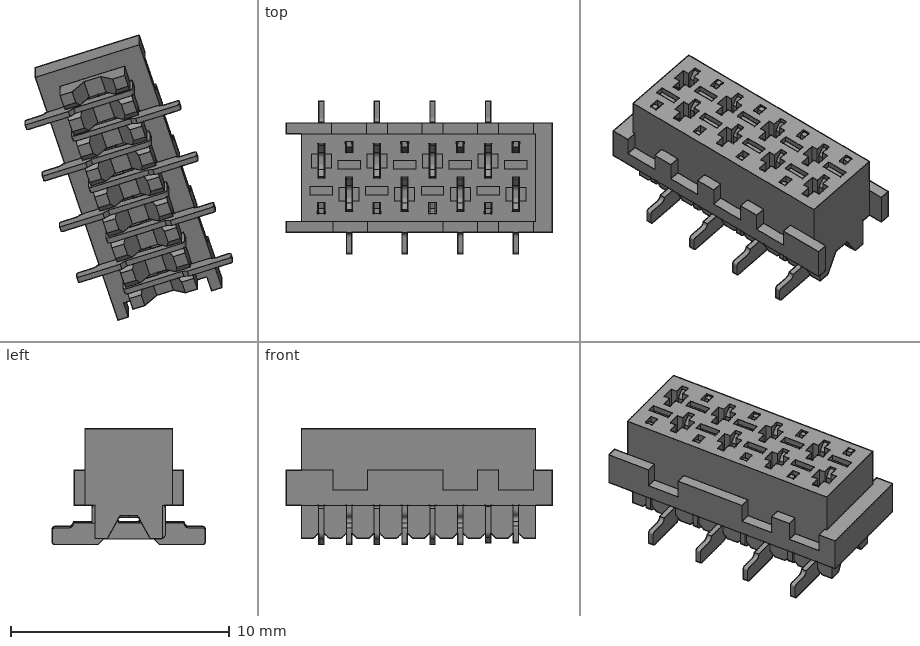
import cadquery as cq
import math

PITCH = 1.27
COLUMNS = 8
COLUMN_X = [(i - (COLUMNS - 1) / 2) * PITCH for i in range(COLUMNS)]

PIN_THICKNESS = 0.25
FOOT_TIP_Y = 3.5
FOOT_TOP_Z = 0.765
FOOT_TIP_RADIUS = 0.13
FOOT_BEVEL_START_Y = 1.41
BAR_BOTTOM_Z = 0.255
BAR_TOP_Z = 0.98
BAR_SHOULDER_Y = 2.53
LEG_OUTER_Y = -1.68
LEG_INNER_Y = -1.14
LEG_HEEL_RADIUS = 0.25
LEG_SHOULDER_Z = 1.66
LEG_SHOULDER_HEIGHT = 0.1
LEG_UPPER_OUTER_Y = -1.64
LEG_TOP_Z = 5.22
LEG_TAPER_START_Z = 2.6
LEG_TOP_INNER_Y = -1.40
NECK_INNER_Y = 0.5
NECK_CORNER_RADIUS = 0.12
NECK_NOTCH_RADIUS = 0.15
NECK_SHOULDER_RADIUS = 0.29
NECK_SHOULDER_Z = 1.5
FORK_BOTTOM_Z = 1.24
FORK_CENTRE_Y = 0.76
FORK_HALF_WIDTH = 0.78
FORK_TIP_HALF_GAP = 0.70
FORK_SLOT_HALF_WIDTH = 0.39
FORK_SLOT_BOTTOM_Z = 2.6
FORK_SLOT_RADIUS = 0.26
FORK_TIP_Z = 5.2
FORK_LEAD_IN_Z = 4.86
RAISED_COLUMNS = 2
RAISED_BY = 0.075

BODY_LENGTH = 10.7
BODY_WIDTH = 4.0
BODY_TOP_Z = 5.3
BASE_WIDTH = 3.1
BASE_BOTTOM_Z = 0.28
FLANGE_WIDTH = 5.0
FLANGE_BOTTOM_Z = 1.79
FLANGE_TOP_Z = 3.4
FLANGE_LENGTH = 12.16
FLANGE_RIGHT_X = 6.11
FLANGE_LEFT_X = FLANGE_RIGHT_X - FLANGE_LENGTH
ARM_NOTCH_WIDTH = 1.59
ARM_NOTCH_FLOOR_Z = 2.485
REAR_NOTCH_COLUMNS = [1, 3, 5, 7]
FRONT_NOTCH_COLUMNS = [1, 5, 7]
FIRST_FRONT_NOTCH_SHIFT = 0.055
TUNNEL_BOTTOM_HALF_WIDTH = 0.975
TUNNEL_TOP_HALF_WIDTH = 0.40
TUNNEL_TOP_Z = 1.32
GROOVE_HEIGHT = 0.24

FORK_HOLE_WIDTH = 0.32
CROSS_LENGTH = 0.91
CROSS_WIDTH = 0.62
CROSS_DEPTH = 2.5
LEG_HOLE_LENGTH = 0.35
POCKET_LENGTH = 1.02
POCKET_WIDTH = 0.39
POCKET_CENTRE_Y = -0.59
POCKET_DEPTH = 0.28


def foot_side(column):
    """+1 where the column's foot points to +Y, -1 where it points to -Y."""
    return 1 if column % 2 == 0 else -1


def box(x_min, x_max, y_min, y_max, z_min, z_max):
    size = (x_max - x_min, y_max - y_min, z_max - z_min)
    return cq.Workplane("XY").box(*size, centered=False).translate((x_min, y_min, z_min))


def column_box(column, length, y_near, y_far, z_min, z_max):
    """A box centred on a column, its y range given towards that column's foot."""
    x = COLUMN_X[column]
    y_ends = sorted((foot_side(column) * y_near, foot_side(column) * y_far))
    return box(x - length / 2, x + length / 2, *y_ends, z_min, z_max)


def extrude_along_x(profile, length):
    return profile.extrude(length / 2, both=True)


def pin_profile():
    """The pin's outline in the YZ plane: foot, bar, leg and neck."""
    fork_outer = FORK_CENTRE_Y + FORK_HALF_WIDTH
    fork_inner = FORK_CENTRE_Y - FORK_HALF_WIDTH
    tip_outer = FORK_CENTRE_Y + FORK_TIP_HALF_GAP
    tip_inner = FORK_CENTRE_Y - FORK_TIP_HALF_GAP
    slot_outer = FORK_CENTRE_Y + FORK_SLOT_HALF_WIDTH
    slot_inner = FORK_CENTRE_Y - FORK_SLOT_HALF_WIDTH
    step = BAR_TOP_Z - FOOT_TOP_Z
    radii = NECK_SHOULDER_RADIUS + NECK_NOTCH_RADIUS
    notch_centre_z = BAR_TOP_Z + NECK_NOTCH_RADIUS
    meet_angle = math.asin((NECK_SHOULDER_Z - notch_centre_z) / radii)
    shoulder_centre_y = fork_outer - NECK_SHOULDER_RADIUS
    notch_centre_y = shoulder_centre_y + radii * math.cos(meet_angle)
    meet_point = (
        shoulder_centre_y + NECK_SHOULDER_RADIUS * math.cos(meet_angle),
        NECK_SHOULDER_Z - NECK_SHOULDER_RADIUS * math.sin(meet_angle),
    )
    bevel_end = FOOT_BEVEL_START_Y - BAR_BOTTOM_Z
    tip_r = FOOT_TIP_RADIUS
    return (
        cq.Workplane("YZ")
        .moveTo(FOOT_BEVEL_START_Y, 0)
        .lineTo(FOOT_TIP_Y - tip_r, 0)
        .radiusArc((FOOT_TIP_Y, tip_r), -tip_r)
        .lineTo(FOOT_TIP_Y, FOOT_TOP_Z - tip_r)
        .radiusArc((FOOT_TIP_Y - tip_r, FOOT_TOP_Z), -tip_r)
        .lineTo(BAR_SHOULDER_Y + step, FOOT_TOP_Z)
        .radiusArc((BAR_SHOULDER_Y, BAR_TOP_Z), step)
        .lineTo(notch_centre_y, BAR_TOP_Z)
        .threePointArc((notch_centre_y - NECK_NOTCH_RADIUS, notch_centre_z), meet_point)
        .radiusArc((fork_outer, NECK_SHOULDER_Z), -NECK_SHOULDER_RADIUS)
        .lineTo(fork_outer, FLANGE_BOTTOM_Z)
        .lineTo(tip_outer, FORK_TIP_Z)
        .lineTo(slot_outer, FORK_LEAD_IN_Z)
        .lineTo(slot_outer, FORK_SLOT_BOTTOM_Z + FORK_SLOT_RADIUS)
        .radiusArc((slot_outer - FORK_SLOT_RADIUS, FORK_SLOT_BOTTOM_Z), FORK_SLOT_RADIUS)
        .lineTo(slot_inner + FORK_SLOT_RADIUS, FORK_SLOT_BOTTOM_Z)
        .radiusArc((slot_inner, FORK_SLOT_BOTTOM_Z + FORK_SLOT_RADIUS), FORK_SLOT_RADIUS)
        .lineTo(slot_inner, FORK_LEAD_IN_Z)
        .lineTo(tip_inner, FORK_TIP_Z)
        .lineTo(fork_inner, FLANGE_BOTTOM_Z)
        .lineTo(fork_inner, FORK_BOTTOM_Z)
        .lineTo(NECK_INNER_Y, FORK_BOTTOM_Z)
        .lineTo(NECK_INNER_Y, BAR_TOP_Z + NECK_CORNER_RADIUS)
        .radiusArc((NECK_INNER_Y - NECK_CORNER_RADIUS, BAR_TOP_Z), NECK_CORNER_RADIUS)
        .lineTo(LEG_INNER_Y, BAR_TOP_Z)
        .lineTo(LEG_INNER_Y, LEG_TAPER_START_Z)
        .lineTo(LEG_TOP_INNER_Y, LEG_TOP_Z)
        .lineTo(LEG_UPPER_OUTER_Y, LEG_TOP_Z)
        .lineTo(LEG_UPPER_OUTER_Y, LEG_SHOULDER_Z + LEG_SHOULDER_HEIGHT)
        .lineTo(LEG_OUTER_Y, LEG_SHOULDER_Z)
        .lineTo(LEG_OUTER_Y, BAR_BOTTOM_Z + LEG_HEEL_RADIUS)
        .radiusArc((LEG_OUTER_Y + LEG_HEEL_RADIUS, BAR_BOTTOM_Z), -LEG_HEEL_RADIUS)
        .lineTo(bevel_end, BAR_BOTTOM_Z)
        .close()
    )


def make_pin(column):
    pin = extrude_along_x(pin_profile(), PIN_THICKNESS)
    if foot_side(column) < 0:
        pin = pin.rotate((0, 0, 0), (0, 0, 1), 180)
    rise = RAISED_BY if column >= COLUMNS - RAISED_COLUMNS else 0
    return pin.translate((COLUMN_X[column], 0, rise))


def housing_block():
    half_length = BODY_LENGTH / 2
    half_flange = FLANGE_WIDTH / 2
    base = box(-half_length, half_length, -BASE_WIDTH / 2, BASE_WIDTH / 2, BASE_BOTTOM_Z, FLANGE_BOTTOM_Z)
    body = box(-half_length, half_length, -BODY_WIDTH / 2, BODY_WIDTH / 2, FLANGE_BOTTOM_Z, BODY_TOP_Z)
    flange = box(FLANGE_LEFT_X, FLANGE_RIGHT_X, -half_flange, half_flange, FLANGE_BOTTOM_Z, FLANGE_TOP_Z)
    between_arms = box(
        FLANGE_LEFT_X, -half_length, -BODY_WIDTH / 2, BODY_WIDTH / 2, FLANGE_BOTTOM_Z, FLANGE_TOP_Z
    )
    return body.union(flange.cut(between_arms)).union(base)


def arm_notch(centre_x, side):
    y_ends = sorted((side * BODY_WIDTH / 2, side * FLANGE_WIDTH / 2))
    half = ARM_NOTCH_WIDTH / 2
    return box(centre_x - half, centre_x + half, *y_ends, ARM_NOTCH_FLOOR_Z, FLANGE_TOP_Z)


def cut_arm_notches(housing):
    for column in REAR_NOTCH_COLUMNS:
        housing = housing.cut(arm_notch(COLUMN_X[column], 1))
    for column in FRONT_NOTCH_COLUMNS:
        shift = FIRST_FRONT_NOTCH_SHIFT if column == FRONT_NOTCH_COLUMNS[0] else 0
        housing = housing.cut(arm_notch(COLUMN_X[column] + shift, -1))
    return housing


def tunnel():
    """Trapezoidal channel under the base, along its whole length."""
    profile = cq.Workplane("YZ").polyline([
        (-TUNNEL_BOTTOM_HALF_WIDTH, BASE_BOTTOM_Z),
        (TUNNEL_BOTTOM_HALF_WIDTH, BASE_BOTTOM_Z),
        (TUNNEL_TOP_HALF_WIDTH, TUNNEL_TOP_Z),
        (-TUNNEL_TOP_HALF_WIDTH, TUNNEL_TOP_Z),
    ]).close()
    return extrude_along_x(profile, BODY_LENGTH)


def pin_slot(column):
    """Slot through the base for one pin, opening into a V groove at the bottom."""
    half = PIN_THICKNESS / 2
    groove_half = half + GROOVE_HEIGHT
    groove_top = BASE_BOTTOM_Z + GROOVE_HEIGHT
    profile = cq.Workplane("XZ").polyline([
        (-groove_half, BASE_BOTTOM_Z),
        (groove_half, BASE_BOTTOM_Z),
        (half, groove_top),
        (half, FLANGE_BOTTOM_Z),
        (-half, FLANGE_BOTTOM_Z),
        (-half, groove_top),
    ]).close()
    return profile.extrude(BASE_WIDTH / 2, both=True).translate((COLUMN_X[column], 0, 0))


def cut_column_openings(housing, column):
    fork_hole = column_box(
        column,
        FORK_HOLE_WIDTH,
        FORK_CENTRE_Y - FORK_HALF_WIDTH,
        FORK_CENTRE_Y + FORK_HALF_WIDTH,
        FLANGE_BOTTOM_Z,
        BODY_TOP_Z,
    )
    cross = column_box(
        column,
        CROSS_LENGTH,
        FORK_CENTRE_Y - CROSS_WIDTH / 2,
        FORK_CENTRE_Y + CROSS_WIDTH / 2,
        BODY_TOP_Z - CROSS_DEPTH,
        BODY_TOP_Z,
    )
    leg_hole = column_box(
        column, LEG_HOLE_LENGTH, LEG_UPPER_OUTER_Y, LEG_INNER_Y, FLANGE_BOTTOM_Z, BODY_TOP_Z
    )
    pocket = column_box(
        column,
        POCKET_LENGTH,
        POCKET_CENTRE_Y - POCKET_WIDTH / 2,
        POCKET_CENTRE_Y + POCKET_WIDTH / 2,
        BODY_TOP_Z - POCKET_DEPTH,
        BODY_TOP_Z,
    )
    for opening in (pin_slot(column), fork_hole, cross, leg_hole, pocket):
        housing = housing.cut(opening)
    return housing


def make_housing():
    housing = cut_arm_notches(housing_block()).cut(tunnel())
    for column in range(COLUMNS):
        housing = cut_column_openings(housing, column)
    for column in range(COLUMNS - RAISED_COLUMNS, COLUMNS):
        housing = housing.cut(make_pin(column))
    return housing


housing = make_housing()
pins = [make_pin(column) for column in range(COLUMNS)]
result = cq.Compound.makeCompound([housing.val(), *[pin.val() for pin in pins]])